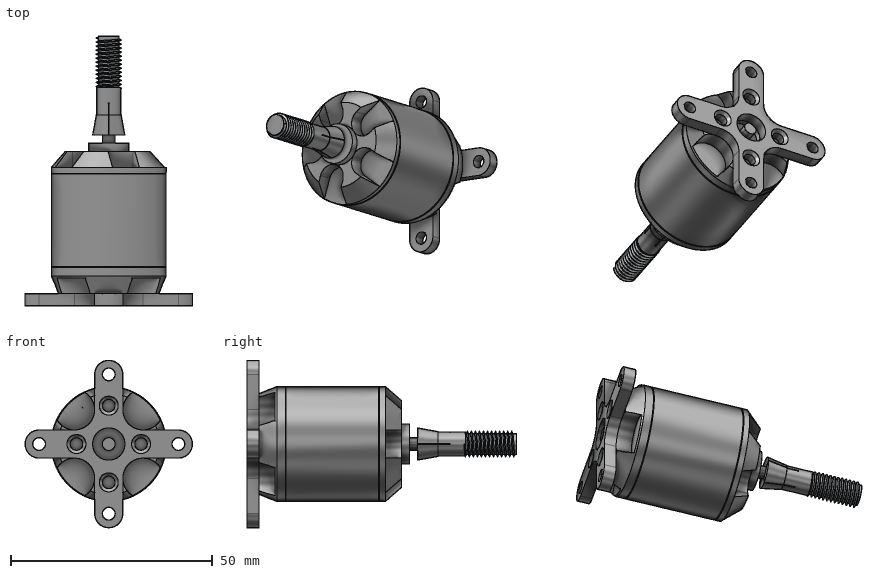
import cadquery as cq


plate_thickness = 3.0
arm_half_width = 3.5
arm_hole_radius = 17.25
arm_hole_diameter = 3.1
arm_corner_radius = 5.0
screw_hole_diameter = 3.1
screw_head_diameter = 4.7
screw_head_angle = 90
arm_count = 4
screw_spacing_x = 16.0
screw_spacing_z = 19.0
center_hole_diameter = 8.0

motor_radius = 14.25
rear_cone_end = 7.4
rear_groove_y = 9.6
front_groove_y = 32.75
front_cone_start = 34.3
front_cone_end = 38.3
collar_end = 40.3
rear_face_radius = 12.5
front_face_radius = 10.75
collar_radius = 5.0
groove_width = 0.2
groove_depth = 0.1

rear_pocket_floor = 6.95
front_slot_count = 5
front_slot_width = 7.0
slot_outer_reach = motor_radius + front_slot_width

shaft_diameter = 3.17
shaft_rear_end = 0.5
recess_depth = 1.5
recess_mouth_diameter = center_hole_diameter + 2 * recess_depth

adapter_start = 42.3
adapter_cone_end = 47.3
adapter_cylinder_end = 54.1
adapter_end = 66.8
slit_length = 8.0
slit_width = 0.2
cone_base_radius = 4.0
cone_top_radius = 3.1
adapter_radius = 3.0
slit_end = adapter_start + slit_length

thread_core_radius = 2.6
thread_crest_radius = 3.18
thread_pitch = 1.0
thread_turns = 12.5
thread_start = 53.85
thread_base_width = 0.6
thread_root_overlap = 0.05


def cylinder(diameter, start, end):
    """Cylinder on the Y axis between two Y positions."""
    return cq.Workplane("XZ", origin=(0, start, 0)).circle(diameter / 2).extrude(start - end)


def turned(outline):
    """Solid of revolution about the Y axis from (radius, Y) points."""
    return cq.Workplane("ZY").polyline(outline).close().revolve(360, (0, 0, 0), (0, 1, 0))


def make_plate():
    arm_length = 2 * (arm_hole_radius + arm_half_width)
    arms = cq.Workplane("XZ")
    for angle in (0, 90):
        arm = cq.Workplane("XZ").slot2D(arm_length, 2 * arm_half_width, angle).extrude(-plate_thickness)
        arms = arms.add(arm)
    arms = arms.combine()
    corner_zone = 2 * arm_half_width
    inner_corners = cq.selectors.BoxSelector(
        (-corner_zone, 0, -corner_zone),
        (corner_zone, plate_thickness, corner_zone),
    )
    plate = arms.edges("|Y").edges(inner_corners).fillet(arm_corner_radius)
    plate = plate.cut(cylinder(center_hole_diameter, 0, plate_thickness))

    arm_holes = (
        cq.Workplane("XZ")
        .polarArray(arm_hole_radius, 0, 360, arm_count)
        .circle(arm_hole_diameter / 2)
        .extrude(-plate_thickness)
    )
    half_x = screw_spacing_x / 2
    half_z = screw_spacing_z / 2
    screw_places = [(half_x, 0), (-half_x, 0), (0, half_z), (0, -half_z)]
    return (
        plate.cut(arm_holes)
        .faces("<Y")
        .workplane(origin=(0, 0, 0))
        .pushPoints(screw_places)
        .cskHole(screw_hole_diameter, screw_head_diameter, screw_head_angle)
    )


def make_rear_pockets():
    """Round pockets between the plate arms, concentric with the arms' inner corners."""
    half_spacing = arm_half_width + arm_corner_radius
    return (
        cq.Workplane("XZ", origin=(0, plate_thickness, 0))
        .rect(2 * half_spacing, 2 * half_spacing, forConstruction=True)
        .vertices()
        .circle(arm_corner_radius)
        .extrude(plate_thickness - rear_pocket_floor)
    )


def make_front_slots():
    """Round-ended slots that open outward, evenly spaced about the Y axis."""
    slot_length = slot_outer_reach - collar_radius
    slot = (
        cq.Workplane("XZ", origin=(0, front_cone_start, 0))
        .center(collar_radius + slot_length / 2, 0)
        .slot2D(slot_length, front_slot_width)
        .extrude(front_cone_start - front_cone_end)
    )
    slots = cq.Workplane("XZ")
    for index in range(front_slot_count):
        angle = index * 360 / front_slot_count
        slots.add(slot.rotate((0, 0, 0), (0, 1, 0), angle))
    return slots.combine()


def make_shaft_recess():
    """45-degree recess in the rear cap, tapering down to the size of the plate's center hole."""
    recess_floor = plate_thickness + recess_depth
    return turned(
        [
            (0, plate_thickness),
            (recess_mouth_diameter / 2, plate_thickness),
            (center_hole_diameter / 2, recess_floor),
            (0, recess_floor),
        ]
    )


def make_motor():
    can = turned(
        [
            (0, plate_thickness),
            (rear_face_radius, plate_thickness),
            (motor_radius, rear_cone_end),
            (motor_radius, front_cone_start),
            (front_face_radius, front_cone_end),
            (collar_radius, front_cone_end),
            (collar_radius, collar_end),
            (0, collar_end),
        ]
    )
    for groove_y in (rear_groove_y, front_groove_y):
        start = groove_y - groove_width / 2
        end = groove_y + groove_width / 2
        groove_floor = cylinder(2 * (motor_radius - groove_depth), start, end)
        can = can.cut(cylinder(2 * motor_radius, start, end).cut(groove_floor))
    can = can.cut(make_rear_pockets()).cut(make_front_slots())
    can = can.cut(make_shaft_recess())
    return can.union(cylinder(shaft_diameter, shaft_rear_end, slit_end))


def make_thread():
    """Right-handed triangular ridge, wound about Z and then laid along Y."""
    length = thread_pitch * thread_turns
    path = cq.Wire.makeHelix(thread_pitch, length, thread_core_radius)
    root_radius = thread_core_radius - thread_root_overlap
    ridge = (
        cq.Workplane("XZ")
        .polyline(
            [
                (root_radius, -thread_base_width / 2),
                (thread_crest_radius, 0),
                (root_radius, thread_base_width / 2),
            ]
        )
        .close()
        .sweep(cq.Workplane(path), isFrenet=True)
    )
    return ridge.rotate((0, 0, 0), (1, 0, 0), -90).translate((0, thread_start, 0))


def make_adapter():
    adapter = turned(
        [
            (0, adapter_start),
            (cone_base_radius, adapter_start),
            (cone_top_radius, adapter_cone_end),
            (adapter_radius, adapter_cone_end),
            (adapter_radius, adapter_cylinder_end),
            (thread_core_radius, adapter_cylinder_end),
            (thread_core_radius, adapter_end),
            (0, adapter_end),
        ]
    )
    adapter = adapter.union(make_thread())
    adapter = adapter.cut(cylinder(shaft_diameter, adapter_start, slit_end))
    slit_middle = adapter_start + slit_length / 2
    slit = cq.Workplane("XY").box(3 * cone_base_radius, slit_length, slit_width)
    for angle in (0, 90):
        turned_slit = slit.rotate((0, 0, 0), (0, 1, 0), angle).translate((0, slit_middle, 0))
        adapter = adapter.cut(turned_slit)
    return adapter


plate = make_plate()
motor = make_motor()
adapter = make_adapter()

result = cq.Compound.makeCompound([plate.val(), motor.val(), adapter.val()])